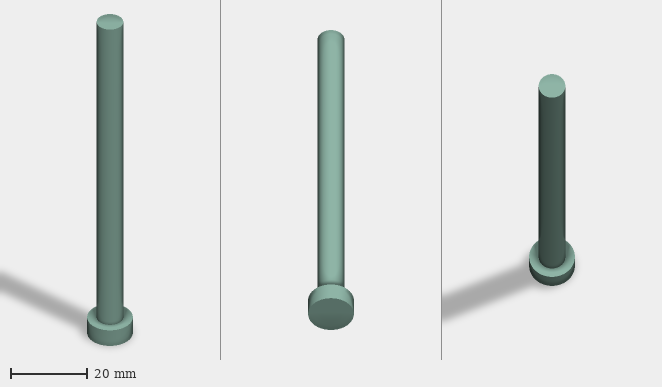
import cadquery as cq

total_length = 100.0
head_diameter = 12.0
head_height = 5.0
shank_diameter = 7.0

head = cq.Workplane("XY").circle(head_diameter / 2).extrude(head_height)
shank = cq.Workplane("XY").circle(shank_diameter / 2).extrude(total_length)

result = head.union(shank)